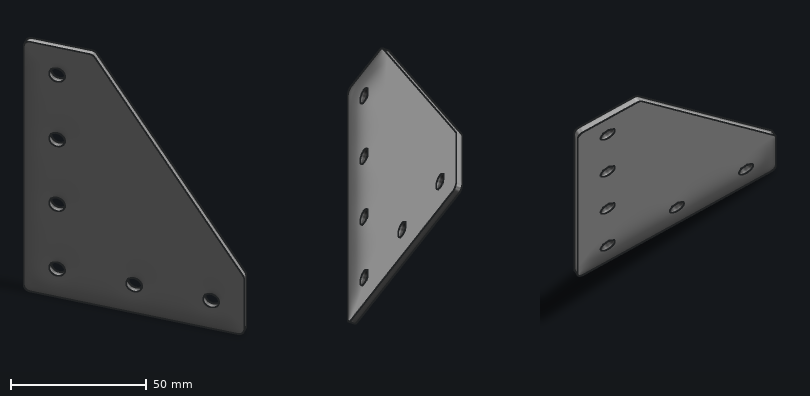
import cadquery as cq

width = 86.0
height = 116.0
thickness = 2.5
arm_width = 27.0
corner_radius = 2.5

hole_diameter = 6.1
hole_pitch = 30.0
edge_distance = 13.0
upright_holes = 4
base_holes = 3


def make_plate():
    """L-shaped joining plate filled in by a sloped edge, all corners rounded."""
    outline = [
        (0, 0),
        (width, 0),
        (width, arm_width),
        (arm_width, height),
        (0, height),
    ]
    plate = cq.Workplane("XZ").polyline(outline).close().extrude(thickness)
    return plate.edges("|Y").fillet(corner_radius)


def hole_centers():
    """One row up the left edge and one along the bottom, sharing the corner hole."""
    upright = [(edge_distance, edge_distance + i * hole_pitch) for i in range(upright_holes)]
    base = [(edge_distance + i * hole_pitch, edge_distance) for i in range(1, base_holes)]
    return upright + base


holes = (
    cq.Workplane("XZ")
    .pushPoints(hole_centers())
    .circle(hole_diameter / 2)
    .extrude(thickness)
)
result = make_plate().cut(holes)